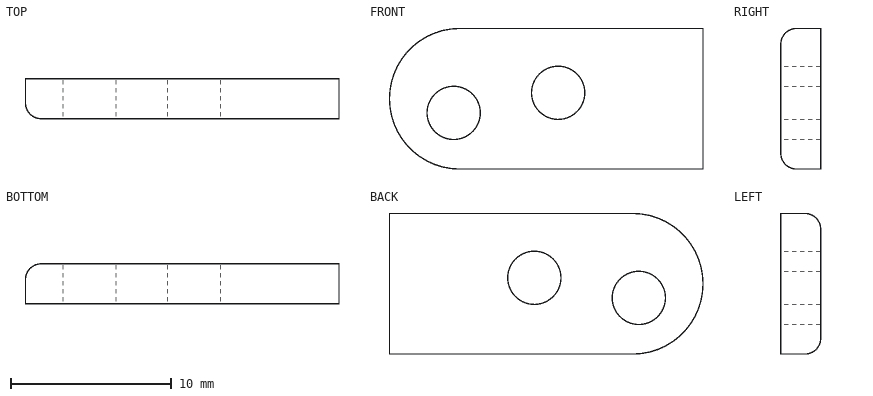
import cadquery as cq

length = 19.5
thickness = 2.5
height = 8.75
end_radius = height / 2
edge_radius = 1.0

hole_diameter = 3.3
hole_places = [(4.0, -0.88), (10.5, 0.37)]


def plate():
    """Plate with a half-round end at X = 0 and a square end at X = length."""
    return (
        cq.Workplane("XZ")
        .moveTo(length, -end_radius)
        .lineTo(end_radius, -end_radius)
        .threePointArc((0, 0), (end_radius, end_radius))
        .lineTo(length, end_radius)
        .close()
        .extrude(thickness)
    )


def round_front_edge(body):
    """Round the front rim along both sides and the tip, leaving the square end sharp."""
    square_end_edge = cq.selectors.BoxSelector(
        (length - 0.2, -thickness - 0.2, -0.2), (length + 0.2, -thickness + 0.2, 0.2)
    )
    return body.faces("<Y").edges(cq.selectors.InverseSelector(square_end_edge)).fillet(edge_radius)


def through_holes():
    return cq.Workplane("XZ").pushPoints(hole_places).circle(hole_diameter / 2).extrude(thickness)


result = round_front_edge(plate()).cut(through_holes())